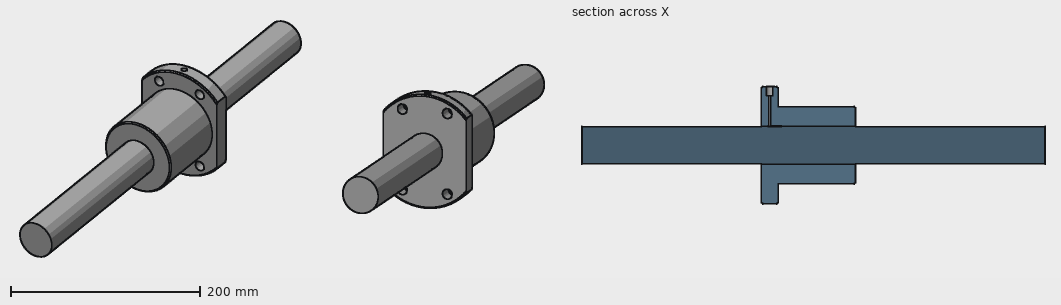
import cadquery as cq
import math

SHAFT_LENGTH = 489.0
SHAFT_DIAMETER = 40.0

NUT_LENGTH = 100.0
NUT_DIAMETER = 82.0
NUT_CHAMFER = 1.5
NUT_FRONT_Y = -44.5
NUT_BACK_Y = NUT_FRONT_Y + NUT_LENGTH

FLANGE_DIAMETER = 124.0
FLANGE_WIDTH = 94.0
FLANGE_THICKNESS = 18.0
FLANGE_CHAMFER = 1.5
FLANGE_FRONT_Y = NUT_BACK_Y - FLANGE_THICKNESS

BOLT_HOLE_DIAMETER = 11.0
BOLT_CIRCLE_DIAMETER = 101.5
BOLT_ANGLES = (60, 120, 240, 300)

OIL_PORT_DIAMETER = 6.5
OIL_PORT_DEPTH = 10.0
OIL_PASSAGE_DIAMETER = 2.0
OIL_PORT_Y = NUT_BACK_Y - FLANGE_THICKNESS / 2


def cylinder_along_y(diameter, start_y, length, x=0, z=0):
    """Cylinder running toward +Y from start_y, with its axis at (x, z)."""
    return (
        cq.Workplane("XZ", origin=(x, start_y, z))
        .circle(diameter / 2)
        .extrude(-length)
    )


def make_flange():
    """Chamfered disc trimmed by two flats parallel to the YZ plane."""
    disc = cylinder_along_y(FLANGE_DIAMETER, FLANGE_FRONT_Y, FLANGE_THICKNESS)
    disc = disc.edges().chamfer(FLANGE_CHAMFER)
    envelope = cq.Workplane("XY").box(FLANGE_WIDTH, SHAFT_LENGTH, FLANGE_DIAMETER)
    return disc.intersect(envelope)


def cut_bolt_holes(nut):
    """Drill the mounting holes through the flange."""
    radius = BOLT_CIRCLE_DIAMETER / 2
    for angle in BOLT_ANGLES:
        x = radius * math.cos(math.radians(angle))
        z = radius * math.sin(math.radians(angle))
        hole = cylinder_along_y(BOLT_HOLE_DIAMETER, FLANGE_FRONT_Y, FLANGE_THICKNESS, x, z)
        nut = nut.cut(hole)
    return nut


def cut_oil_port(nut):
    """Drill the stepped radial oil hole from the flange rim down to the bore."""
    rim = cq.Workplane("XY", origin=(0, OIL_PORT_Y, FLANGE_DIAMETER / 2))
    port = rim.circle(OIL_PORT_DIAMETER / 2).extrude(-OIL_PORT_DEPTH)
    passage = rim.circle(OIL_PASSAGE_DIAMETER / 2).extrude(-FLANGE_DIAMETER / 2)
    return nut.cut(port).cut(passage)


def make_nut():
    """Cylindrical nut body with a flange at its +Y end and a bore for the shaft."""
    barrel = cylinder_along_y(NUT_DIAMETER, NUT_FRONT_Y, NUT_LENGTH)
    barrel = barrel.faces("<Y").edges().chamfer(NUT_CHAMFER)
    nut = barrel.union(make_flange())
    nut = nut.cut(cylinder_along_y(SHAFT_DIAMETER, NUT_FRONT_Y, NUT_LENGTH))
    nut = cut_bolt_holes(nut)
    return cut_oil_port(nut)


def make_shaft():
    """Plain round shaft centred on the origin."""
    return cylinder_along_y(SHAFT_DIAMETER, -SHAFT_LENGTH / 2, SHAFT_LENGTH)


nut = make_nut()
shaft = make_shaft()

result = cq.Compound.makeCompound([nut.val(), shaft.val()])